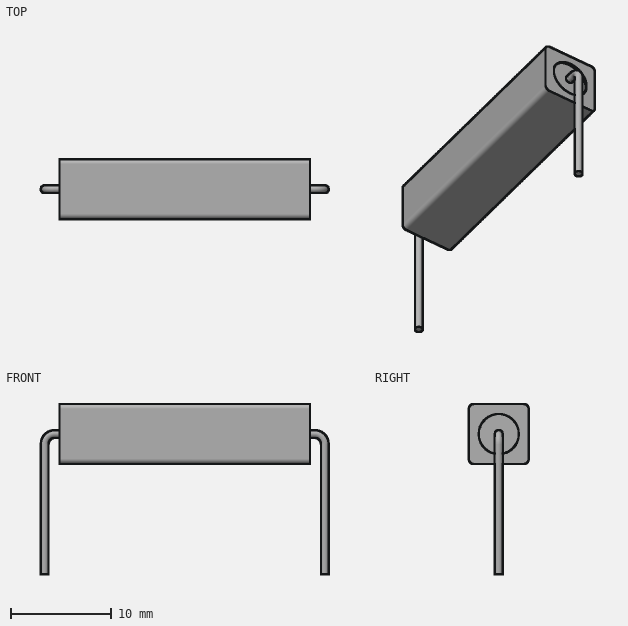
import cadquery as cq


case_length = 25.0
case_width = 6.0
case_corner_radius = 0.5
core_diameter = 4.0
core_recess = 0.2

lead_diameter = 0.8
lead_pitch = 27.94
lead_bend_radius = 1.0
lead_drop = 14.01

core_length = case_length - 2 * core_recess
core_end = core_length / 2
leg_x = lead_pitch / 2
bend_start_x = leg_x - lead_bend_radius


def make_case():
    """Rounded square bar with a bore along its full length for the core."""
    bar = cq.Workplane("XY").box(case_length, case_width, case_width)
    bar = bar.edges("|X").fillet(case_corner_radius)
    return bar.faces(">X").workplane().hole(core_diameter)


def make_core():
    """Round core that fills the bore and stops just short of both case ends."""
    return (
        cq.Workplane("YZ", origin=(-core_end, 0, 0))
        .circle(core_diameter / 2)
        .extrude(core_length)
    )


def make_lead(side):
    """Wire from the core's end face, bent down; side is +1 or -1 along X."""
    centre_line = (
        cq.Workplane("XZ")
        .moveTo(side * core_end, 0)
        .lineTo(side * bend_start_x, 0)
        .tangentArcPoint((side * leg_x, -lead_bend_radius), relative=False)
        .lineTo(side * leg_x, -lead_drop)
    )
    return (
        cq.Workplane("YZ", origin=(side * core_end, 0, 0))
        .circle(lead_diameter / 2)
        .sweep(centre_line)
    )


case = make_case()
core = make_core()
leads = [make_lead(side) for side in (-1, 1)]

result = cq.Compound.makeCompound([case.val(), core.val(), *[lead.val() for lead in leads]])